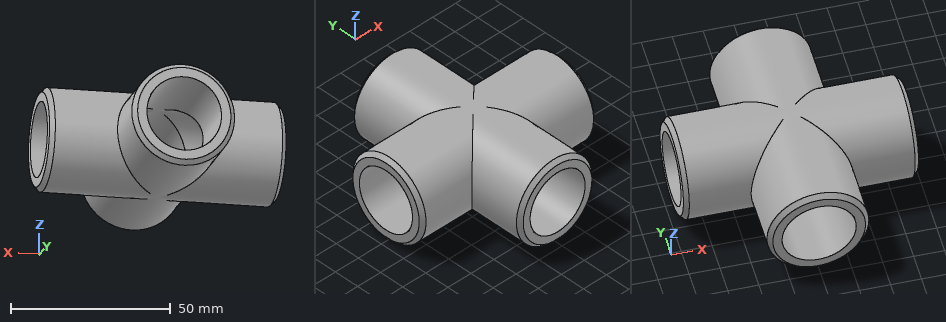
import cadquery as cq

length = 76.0
outer_diameter = 33.0
bore_diameter = 23.95
end_chamfer = 1.5


def centred_cylinder(plane, diameter):
    """Cylinder of the full length, centred on the origin, along the plane's normal."""
    return cq.Workplane(plane).circle(diameter / 2).extrude(length / 2, both=True)


def chamfered_pipe(plane):
    """Solid outer body of one pipe, with both end rims chamfered."""
    return centred_cylinder(plane, outer_diameter).edges("%CIRCLE").chamfer(end_chamfer)


pipe_planes = ("YZ", "XZ")

result = chamfered_pipe(pipe_planes[0]).union(chamfered_pipe(pipe_planes[1]))
for pipe_plane in pipe_planes:
    result = result.cut(centred_cylinder(pipe_plane, bore_diameter))